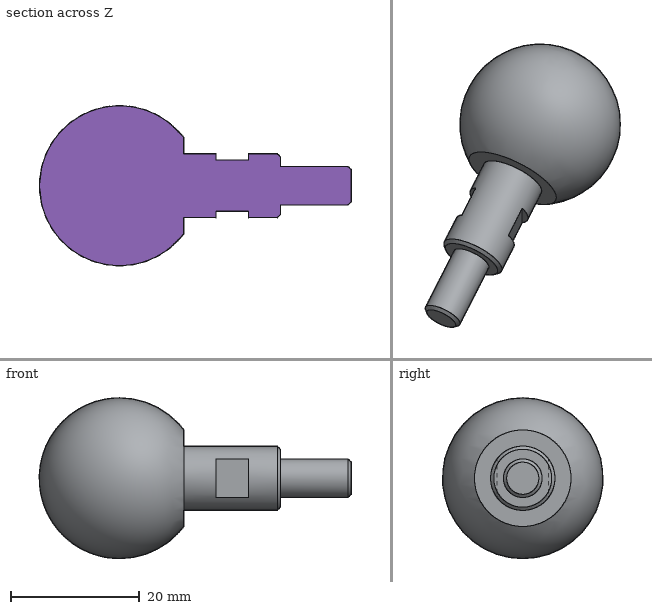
import cadquery as cq

ball_radius = 12.5
ball_flat_x = 10.0

shank_diameter = 10.0
shank_length = 15.0
pin_diameter = 6.0
pin_length = 11.0
end_chamfer = 0.5

across_flats = 8.0
flat_width = 5.0
flat_offset = 5.0

shank_end_x = ball_flat_x + shank_length


def make_ball():
    """Sphere cut off square where the stem leaves it."""
    ball = cq.Workplane("XY").sphere(ball_radius)
    cutter = (
        cq.Workplane("YZ")
        .workplane(offset=ball_flat_x)
        .rect(2 * ball_radius, 2 * ball_radius)
        .extrude(ball_radius)
    )
    return ball.cut(cutter)


def make_chamfered_rod(start_x, diameter, length):
    """Round rod along +X with a chamfer on its far end."""
    return (
        cq.Workplane("YZ")
        .workplane(offset=start_x)
        .circle(diameter / 2)
        .extrude(length)
        .faces(">X")
        .chamfer(end_chamfer)
    )


def cut_wrench_flats(shank):
    """Mill two opposite flats into the shank."""
    depth = (shank_diameter - across_flats) / 2
    flat_center_x = ball_flat_x + flat_offset + flat_width / 2
    for side in (-1, 1):
        center_y = side * (across_flats + depth) / 2
        cutter = cq.Workplane("XY").box(flat_width, depth, shank_diameter)
        shank = shank.cut(cutter.translate((flat_center_x, center_y, 0)))
    return shank


shank = cut_wrench_flats(make_chamfered_rod(ball_flat_x, shank_diameter, shank_length))
pin = make_chamfered_rod(shank_end_x, pin_diameter, pin_length)
result = make_ball().union(shank).union(pin)